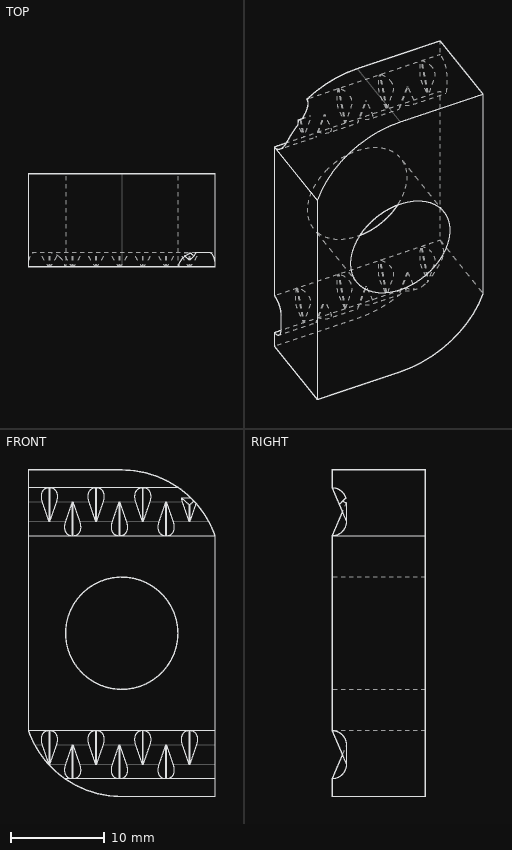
import cadquery as cq
import math

width = 20.0
thickness = 10.0
height = 35.0
corner_radius = 10.6
hole_diameter = 12.0

groove_floor = 2.05
groove_radius = 1.55
groove_spacing = 26.0
first_groove_z = groove_spacing / 2
groove_count = 2
groove_depth = groove_radius
groove_width = groove_floor + 2 * groove_radius

tooth_pitch = 5.0
tooth_margin = 2.25
upper_tooth_count = 4
lower_tooth_count = 3
ridge_width = 0.1
ridge_run = groove_radius + groove_floor
ridge_length = math.hypot(ridge_run, groove_depth)
flank_height = 3.0
flank_angle = 41.0

relief_angle = 45.0
relief_length = 4.0


def make_block():
    """Plate rounded at the +X top and -X bottom corners, starting at mid-width."""
    half_width = width / 2
    half_height = height / 2
    center_z = half_height - corner_radius
    arc_end_z = center_z + math.sqrt(corner_radius**2 - half_width**2)
    half_sweep = math.asin(half_width / corner_radius) / 2
    arc_mid_x = corner_radius * math.sin(half_sweep)
    arc_mid_z = center_z + corner_radius * math.cos(half_sweep)
    outline = (
        cq.Workplane("XZ")
        .moveTo(-half_width, half_height)
        .lineTo(0, half_height)
        .threePointArc((arc_mid_x, arc_mid_z), (half_width, arc_end_z))
        .lineTo(half_width, -half_height)
        .lineTo(0, -half_height)
        .threePointArc((-arc_mid_x, -arc_mid_z), (-half_width, -arc_end_z))
        .close()
    )
    return outline.extrude(-thickness)


def make_hole():
    return cq.Workplane("XZ").circle(hole_diameter / 2).extrude(-thickness)


def make_groove(center_z):
    """Channel along X with a flat floor and rounded sides."""
    channel = cq.Workplane("XY").box(width, 2 * groove_depth, groove_width)
    channel = channel.edges("|X and >Y").fillet(groove_radius)
    return channel.translate((0, 0, center_z))


def make_tooth(x, center_z, side):
    """Wedge whose ridge slopes from the groove edge on one side (+1 top, -1 bottom) to the floor."""
    flank_spread = flank_height * math.tan(math.radians(flank_angle))
    half_ridge = ridge_width / 2
    section_plane = cq.Plane(
        origin=(x, 0, center_z + side * groove_width / 2),
        xDir=(side, 0, 0),
        normal=(0, groove_depth, -side * ridge_run),
    )
    section = cq.Workplane(section_plane).polyline([
        (-half_ridge, 0),
        (half_ridge, 0),
        (half_ridge + flank_spread, -flank_height),
        (-half_ridge - flank_spread, -flank_height),
    ]).close()
    return section.extrude(ridge_length, both=True)


def make_serration(center_z):
    """Material removed by one groove, with its two staggered rows of teeth left standing."""
    serration = make_groove(center_z)
    first_x = -width / 2 + tooth_margin
    for index in range(upper_tooth_count):
        tooth = make_tooth(first_x + index * tooth_pitch, center_z, 1)
        serration = serration.cut(tooth)
    for index in range(lower_tooth_count):
        tooth = make_tooth(first_x + tooth_pitch / 2 + index * tooth_pitch, center_z, -1)
        serration = serration.cut(tooth)
    return serration


def make_tooth_relief(center_z):
    """Sloped cut that shortens the last upper tooth, within the groove outline."""
    rise = groove_width / 2
    run = rise / math.tan(math.radians(relief_angle))
    slope = cq.Workplane("YZ", origin=(width / 2 - relief_length, 0, center_z)).polyline([
        (0, 0),
        (run, rise),
        (0, rise),
    ]).close().extrude(relief_length)
    return slope.intersect(make_groove(center_z))


result = make_block().cut(make_hole())
for groove_index in range(groove_count):
    result = result.cut(make_serration(first_groove_z - groove_index * groove_spacing))
result = result.cut(make_tooth_relief(first_groove_z))